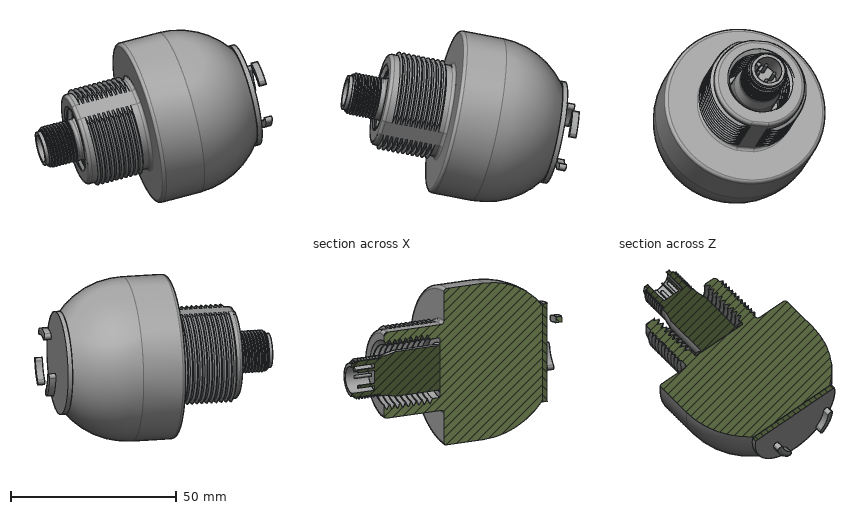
import cadquery as cq
import math


DOME_RADIUS = 25.0
DOME_CENTRE_Y = 13.2
EDGE_FILLET = 1.0
NECK_RADIUS = 14.0
NECK_LENGTH = 20.0
NECK_FLAT_HALF_WIDTH = 13.75

NECK_THREAD_RADIUS = 15.0
NECK_THREAD_PITCH = 1.5
NECK_THREAD_FOOT = 1.2
NECK_THREAD_HALF_TURNS = 21
NECK_THREAD_START_Y = -17.9

BORE_RADIUS = 9.45
BORE_FLOOR_Y = -1.4
BORE_THREAD_PITCH = 1.81
BORE_THREAD_WIDTH = 1.75
BORE_THREAD_DEPTH = 1.55
BORE_THREAD_HALF_TURNS = 20

CAP_RADIUS = 15.65
CAP_THICKNESS = 1.5
CAP_FRONT_Y = 33.15

BAR_REAR_Y = 39.55
BAR_THICKNESS = 2.2
BAR_MID_RADIUS = 9.95
BAR_HALF_WIDTH = 1.0
BAR_HALF_ANGLE = 19.2
BAR_CENTRE_ANGLES = (88.3, 207.0, 330.0)
BAR_BEVEL_WIDTH = 0.7
BAR_BEVEL_DEPTH = 0.2

OVERALL_LENGTH = 70.5
TIP_Y = BAR_REAR_Y - OVERALL_LENGTH
TIP_RADIUS = 5.2
TIP_LENGTH = 1.1
PLUG_THREAD_RADIUS = 6.35
PLUG_CORE_RADIUS = 5.7
PLUG_THREAD_PITCH = 1.0
PLUG_THREAD_FOOT = 0.85
PLUG_THREAD_CREST = 0.15
PLUG_THREAD_HALF_TURNS = 20
PLUG_THREAD_START_Y = -30.6
PLUG_LEAD_LENGTH = 2.1
COLLAR_FRONT_Y = -21.15
COLLAR_RADIUS = 7.2
COLLAR_TAPER_REAR_Y = -16.15
COLLAR_TAPER_FRONT_Y = -19.75
FLANGE_RADIUS = 7.75
FLANGE_HEIGHT = 0.55
EAR_INNER_X = 7.55
EAR_HALF_HEIGHT = 2.5
EAR_CORNER = 0.7
EAR_THICKNESS = 0.7
TAB_INNER_X = 7.3
TAB_OUTER_X = 8.05
TAB_WIDTH = 0.7
TAB_THICKNESS = 1.0
SOCKET_RADIUS = 4.15
SOCKET_DEPTH = 7.75
KEY_ANGLE = 135
KEY_WIDTH = 1.2
KEY_INNER_RADIUS = 2.9
KEY_RECESS = 2.1
PIN_RADIUS = 0.5
PIN_CIRCLE_RADIUS = 2.5
PIN_RECESS = 2.1
PIN_TIP_FILLET = 0.35
PIN_COUNT = 4

THREAD_OVERLAP = 0.2


def disc(radius, rear_y, length):
    """Cylinder on the Y axis whose rear face is at rear_y, reaching towards -Y."""
    return cq.Workplane("XZ", origin=(0, rear_y, 0)).circle(radius).extrude(length)


def block(x_range, y_range, z_range):
    """Box spanning the (low, high) range given for each axis."""
    size = [high - low for low, high in (x_range, y_range, z_range)]
    middle = tuple((low + high) / 2 for low, high in (x_range, y_range, z_range))
    return cq.Workplane("XY").box(*size).translate(middle)


def revolved(points):
    """Solid of revolution about the Y axis from (radius, y) points."""
    return cq.Workplane("XY").polyline(points).close().revolve(360, (0, 0, 0), (0, 1, 0))


def thread(foot_radius, tip_radius, pitch, foot_width, tip_width, half_turns, start_y, start_angle):
    """Right-handed helical ridge winding towards +Y, built from half-turn lengths.

    start_angle is measured from +X towards +Z.
    """
    section = [(foot_radius, -foot_width / 2), (tip_radius, -tip_width / 2)]
    if tip_width > 0:
        section.append((tip_radius, tip_width / 2))
    section.append((foot_radius, foot_width / 2))

    helices = [
        cq.Wire.makeHelix(pitch, pitch / 2, radius).translate(cq.Vector(0, 0, height))
        for radius, height in section
    ]
    flanks = [
        cq.Face.makeRuledSurface(lower, upper)
        for lower, upper in zip(helices, helices[1:] + helices[:1])
    ]
    corners = [cq.Vector(radius, 0, height) for radius, height in section]
    end_face = cq.Face.makeFromWires(cq.Wire.makePolygon(corners, close=True))

    def wound(face, steps):
        turned = face.rotate(cq.Vector(0, 0, 0), cq.Vector(0, 0, 1), 180 * steps)
        return turned.translate(cq.Vector(0, 0, steps * pitch / 2))

    faces = [wound(flank, step) for step in range(half_turns) for flank in flanks]
    faces += [end_face, wound(end_face, half_turns)]
    ridge = cq.Solid.makeSolid(cq.Shell.makeShell(faces)).fix()
    return (
        cq.Workplane(ridge)
        .rotate((0, 0, 0), (1, 0, 0), -90)
        .rotate((0, 0, 0), (0, 1, 0), -start_angle)
        .translate((0, start_y, 0))
    )


def make_dome():
    rise = CAP_FRONT_Y - DOME_CENTRE_Y
    half_rise_angle = math.asin(rise / DOME_RADIUS) / 2
    arc_middle = (
        DOME_RADIUS * math.cos(half_rise_angle),
        DOME_CENTRE_Y + DOME_RADIUS * math.sin(half_rise_angle),
    )
    arc_end = (math.sqrt(DOME_RADIUS**2 - rise**2), CAP_FRONT_Y)
    dome = (
        cq.Workplane("XY")
        .lineTo(DOME_RADIUS, 0)
        .lineTo(DOME_RADIUS, DOME_CENTRE_Y)
        .threePointArc(arc_middle, arc_end)
        .lineTo(0, CAP_FRONT_Y)
        .close()
        .revolve(360, (0, 0, 0), (0, 1, 0))
    )
    return dome.faces("<Y").edges().fillet(EDGE_FILLET)


def cut_flats(neck):
    """Cuts the two flats along the neck, facing +Z and -Z."""
    reach = 2 * NECK_RADIUS
    for side in (-1, 1):
        z_range = sorted((side * NECK_FLAT_HALF_WIDTH, side * reach))
        neck = neck.cut(block((-reach, reach), (-NECK_LENGTH, 0), z_range), clean=False)
    return neck


def make_housing():
    outer_thread = thread(
        NECK_RADIUS - THREAD_OVERLAP, NECK_THREAD_RADIUS, NECK_THREAD_PITCH, NECK_THREAD_FOOT, 0,
        NECK_THREAD_HALF_TURNS, NECK_THREAD_START_Y, -90,
    )
    neck = cut_flats(disc(NECK_RADIUS, 0, NECK_LENGTH).union(outer_thread, clean=False))
    neck = neck.faces("<Y").edges().fillet(EDGE_FILLET)
    body = make_dome().union(neck, clean=False)
    zone_reach = NECK_RADIUS + EDGE_FILLET
    zone_depth = EDGE_FILLET / 2
    root_zone = cq.selectors.BoxSelector(
        (-zone_reach, -zone_depth, -zone_reach), (zone_reach, zone_depth, zone_reach), True
    )
    body = body.edges(root_zone).fillet(EDGE_FILLET)

    body = body.cut(disc(BORE_RADIUS, BORE_FLOOR_Y, NECK_LENGTH), clean=False)
    inner_thread = thread(
        BORE_RADIUS - THREAD_OVERLAP, BORE_RADIUS + BORE_THREAD_DEPTH,
        BORE_THREAD_PITCH, BORE_THREAD_WIDTH, 0,
        BORE_THREAD_HALF_TURNS, -NECK_LENGTH - BORE_THREAD_PITCH, 90,
    )
    return body.cut(inner_thread, clean=False)


def make_cap():
    return disc(CAP_RADIUS, CAP_FRONT_Y + CAP_THICKNESS, CAP_THICKNESS)


def make_bar(centre_angle):
    """Curved bar with round ends and a bevel along its outer rear edge."""
    inner = BAR_MID_RADIUS - BAR_HALF_WIDTH
    outer = BAR_MID_RADIUS + BAR_HALF_WIDTH

    def polar(radius, angle):
        return (radius * math.cos(math.radians(angle)), radius * math.sin(math.radians(angle)))

    first = -BAR_HALF_ANGLE
    last = BAR_HALF_ANGLE
    cap_turn = math.degrees(BAR_HALF_WIDTH / BAR_MID_RADIUS)
    bar = (
        cq.Workplane("XZ", origin=(0, BAR_REAR_Y, 0))
        .moveTo(*polar(outer, first))
        .threePointArc(polar(outer, 0), polar(outer, last))
        .threePointArc(polar(BAR_MID_RADIUS, last + cap_turn), polar(inner, last))
        .threePointArc(polar(inner, 0), polar(inner, first))
        .threePointArc(polar(BAR_MID_RADIUS, first - cap_turn), polar(outer, first))
        .close()
        .extrude(BAR_THICKNESS)
    )
    bevelled_disc = revolved([
        (0, BAR_REAR_Y - BAR_THICKNESS),
        (outer, BAR_REAR_Y - BAR_THICKNESS),
        (outer, BAR_REAR_Y - BAR_BEVEL_DEPTH),
        (outer - BAR_BEVEL_WIDTH, BAR_REAR_Y),
        (0, BAR_REAR_Y),
    ])
    return bar.intersect(bevelled_disc).rotate((0, 0, 0), (0, 1, 0), -centre_angle)


def make_plug_shell():
    """Flanged, tapered collar and threaded plug, the thread running out in a lead-in cone and plain tip."""
    lead_front_y = TIP_Y + TIP_LENGTH
    lead_rear_y = lead_front_y + PLUG_LEAD_LENGTH
    shell = revolved([
        (0, BORE_FLOOR_Y),
        (FLANGE_RADIUS, BORE_FLOOR_Y),
        (COLLAR_RADIUS, BORE_FLOOR_Y - FLANGE_HEIGHT),
        (COLLAR_RADIUS, COLLAR_TAPER_REAR_Y),
        (PLUG_THREAD_RADIUS, COLLAR_TAPER_FRONT_Y),
        (PLUG_THREAD_RADIUS, COLLAR_FRONT_Y),
        (PLUG_CORE_RADIUS, COLLAR_FRONT_Y),
        (PLUG_CORE_RADIUS, TIP_Y),
        (0, TIP_Y),
    ])
    ridge = thread(
        PLUG_CORE_RADIUS - THREAD_OVERLAP, PLUG_THREAD_RADIUS,
        PLUG_THREAD_PITCH, PLUG_THREAD_FOOT, PLUG_THREAD_CREST,
        PLUG_THREAD_HALF_TURNS, PLUG_THREAD_START_Y, 0,
    )
    trimming_ring = revolved([
        (TIP_RADIUS, TIP_Y - PLUG_THREAD_PITCH),
        (TIP_RADIUS, lead_front_y),
        (PLUG_CORE_RADIUS, lead_front_y),
        (COLLAR_RADIUS, lead_rear_y),
        (COLLAR_RADIUS, TIP_Y - PLUG_THREAD_PITCH),
    ])
    return shell.union(ridge, clean=False).cut(trimming_ring, clean=False)


def make_ear():
    """Side ear on the floor of the bore, with a small tab at its inner edge, on the +X side."""
    ear = block(
        (EAR_INNER_X, BORE_RADIUS),
        (BORE_FLOOR_Y - EAR_THICKNESS, BORE_FLOOR_Y),
        (-EAR_HALF_HEIGHT, EAR_HALF_HEIGHT),
    )
    ear = ear.edges("|Y").fillet(EAR_CORNER).intersect(disc(BORE_RADIUS, BORE_FLOOR_Y, EAR_THICKNESS))
    tab = block(
        (TAB_INNER_X, TAB_OUTER_X),
        (BORE_FLOOR_Y - TAB_THICKNESS, BORE_FLOOR_Y),
        (-TAB_WIDTH / 2, TAB_WIDTH / 2),
    )
    return ear.union(tab)


def make_connector():
    body = make_plug_shell()
    ear = make_ear()
    body = body.union(ear, clean=False).union(ear.mirror("YZ"), clean=False)

    socket_floor_y = TIP_Y + SOCKET_DEPTH
    socket = disc(SOCKET_RADIUS, socket_floor_y, SOCKET_DEPTH)
    key = block(
        (KEY_INNER_RADIUS, SOCKET_RADIUS + KEY_WIDTH),
        (TIP_Y + KEY_RECESS, socket_floor_y),
        (-KEY_WIDTH / 2, KEY_WIDTH / 2),
    ).rotate((0, 0, 0), (0, 1, 0), -KEY_ANGLE)
    body = body.cut(socket.cut(key), clean=False)

    pin = disc(PIN_RADIUS, socket_floor_y, SOCKET_DEPTH - PIN_RECESS)
    pin = pin.faces("<Y").edges().fillet(PIN_TIP_FILLET).translate((PIN_CIRCLE_RADIUS, 0, 0))
    for index in range(PIN_COUNT):
        body = body.union(pin.rotate((0, 0, 0), (0, 1, 0), index * 360 / PIN_COUNT), clean=False)
    return body


housing = make_housing().solids().val()
cap = make_cap().solids().val()
connector = make_connector().solids().val()
bars = [make_bar(angle).solids().val() for angle in BAR_CENTRE_ANGLES]

result = cq.Compound.makeCompound([housing, cap, connector, *bars])